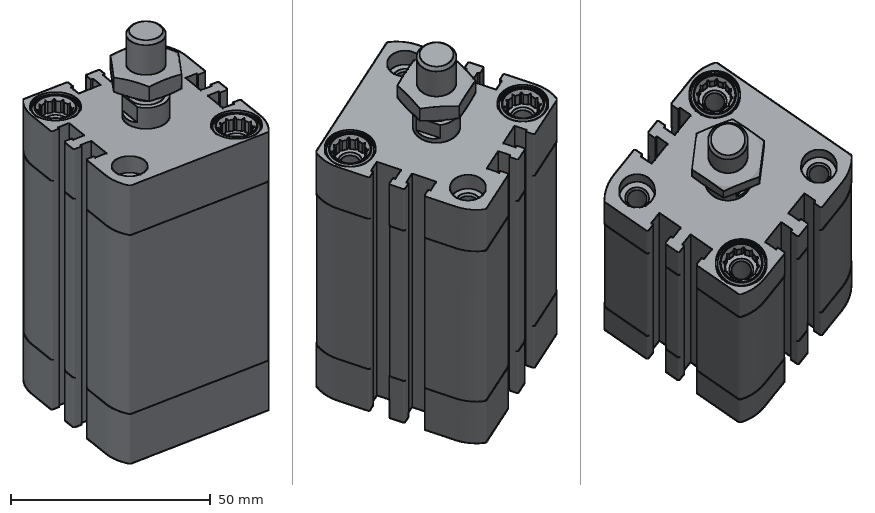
import cadquery as cq
import math


BODY_WIDTH = 47.0
HALF_WIDTH = BODY_WIDTH / 2
BODY_HEIGHT = 84.0
CAP_HEIGHT = 15.0
BARREL_TOP = BODY_HEIGHT - CAP_HEIGHT
BARREL_INSET = 0.08

HOLE_OFFSET = 16.25
CORNER_RISE = 2.4
CAP_EDGE_RADIUS = 0.8
BARREL_EDGE_RADIUS = 1.3
EDGE_MARGIN = 0.1

SLOT_OFFSET = 4.85
SLOT_MOUTH_WIDTH = 5.4
SLOT_INNER_WIDTH = 6.7
SLOT_LIP = 2.4
SLOT_DEPTH = 5.8
LIP_RADIUS = 0.4

THROUGH_DIAMETER = 4.92
THREAD_DIAMETER = 6.0
THREAD_CHAMFER = (THREAD_DIAMETER - THROUGH_DIAMETER) / 2
PLAIN_DIAMETER = 9.0
PLAIN_DEPTH = 5.0

RECESS_DIAMETER = 12.8
RECESS_DEPTH = 0.7
HEAD_DIAMETER = 11.9
CREST_DIAMETER = 10.7
CREST_DEPTH = 0.2
COUNTERSINK_DIAMETER = 10.2
SOCKET_DIAMETER = 8.2
SOCKET_DEPTH = 4.6
COUNTERSINK_DEPTH = (COUNTERSINK_DIAMETER - SOCKET_DIAMETER) / 2
SPLINE_TIP_DIAMETER = 9.1
SPLINE_HALF_WIDTH = (SPLINE_TIP_DIAMETER - SOCKET_DIAMETER) / 2
SPLINE_COUNT = 12

ROD_TOP = 109.6
ROD_DIAMETER = 12.0
ROD_BOTTOM = BARREL_TOP
THREAD_ROD_DIAMETER = 10.0
TIP_CHAMFER = 1.0
TIP_DIAMETER = 8.5
NECK_DIAMETER = 8.0
SHOULDER_Z = BODY_HEIGHT + 6.35
NECK_BOTTOM = SHOULDER_Z + 0.7
NECK_TOP = NECK_BOTTOM + 1.0
SHOULDER_DIAMETER = 9.4
FLAT_WIDTH = 10.0
FLAT_BOTTOM = BODY_HEIGHT + 1.7
FLAT_RUNOUT = 0.35

NUT_ACROSS_FLATS = 17.0
NUT_CORNER_DIAMETER = NUT_ACROSS_FLATS / math.cos(math.pi / 6)
NUT_HEIGHT = 5.0
NUT_BOTTOM = BODY_HEIGHT + 10.6
NUT_CHAMFER_DROP = 0.35


def revolve_profile(points):
    """Solid of revolution about Z from (radius, z) points."""
    return cq.Workplane("XZ").polyline(points).close().revolve(360, (0, 0, 0), (0, 1, 0))


def body_section(inset, edge_radius, bottom, height):
    """Prism with the housing outline; its faces are pulled in by `inset`."""
    side = HALF_WIDTH - inset
    arc_run = side - HOLE_OFFSET
    corner_y = side - CORNER_RISE
    radius = (arc_run ** 2 + CORNER_RISE ** 2) / (2 * CORNER_RISE)
    section = (
        cq.Workplane("XY", origin=(0, 0, bottom))
        .moveTo(-HOLE_OFFSET, side)
        .lineTo(HOLE_OFFSET, side)
        .radiusArc((side, corner_y), radius)
        .lineTo(side, -corner_y)
        .radiusArc((HOLE_OFFSET, -side), radius)
        .lineTo(-HOLE_OFFSET, -side)
        .radiusArc((-side, -corner_y), radius)
        .lineTo(-side, corner_y)
        .radiusArc((-HOLE_OFFSET, side), radius)
        .close()
        .extrude(height)
    )
    for sign in (-1, 1):
        corner_edges = cq.selectors.BoxSelector(
            (sign * side - EDGE_MARGIN, -HALF_WIDTH, bottom),
            (sign * side + EDGE_MARGIN, HALF_WIDTH, bottom + height),
        )
        section = section.edges("|Z").edges(corner_edges).fillet(edge_radius)
    for angle in (0, 90, 180):
        for offset in (-SLOT_OFFSET, SLOT_OFFSET):
            slot = slot_cutter(side, offset, bottom, height)
            section = section.cut(slot.rotate((0, 0, 0), (0, 0, 1), angle))
    return section


def slot_cutter(face, offset, bottom, height):
    """T-slot cutter opening at Y = `face`, with rounded lips."""
    mouth = SLOT_MOUTH_WIDTH / 2
    inner = SLOT_INNER_WIDTH / 2
    flare = mouth + LIP_RADIUS
    lip_bottom = HALF_WIDTH - SLOT_LIP
    floor = HALF_WIDTH - SLOT_DEPTH
    return (
        cq.Workplane("XY", origin=(offset, 0, bottom))
        .moveTo(-inner, floor)
        .lineTo(inner, floor)
        .lineTo(inner, lip_bottom)
        .lineTo(mouth, lip_bottom)
        .lineTo(mouth, face - LIP_RADIUS)
        .radiusArc((flare, face), LIP_RADIUS)
        .lineTo(-flare, face)
        .radiusArc((-mouth, face - LIP_RADIUS), LIP_RADIUS)
        .lineTo(-mouth, lip_bottom)
        .lineTo(-inner, lip_bottom)
        .close()
        .extrude(height)
    )


def through_hole_points(floor):
    """Lower part of a screw hole: chamfered through hole below `floor`."""
    return [
        (THREAD_DIAMETER / 2, floor),
        (THROUGH_DIAMETER / 2, floor - THREAD_CHAMFER),
        (THROUGH_DIAMETER / 2, 0),
        (0, 0),
    ]


def plain_hole_cutter():
    """Counterbored through hole."""
    floor = BODY_HEIGHT - PLAIN_DEPTH
    radius = PLAIN_DIAMETER / 2
    return revolve_profile(
        [(0, BODY_HEIGHT), (radius, BODY_HEIGHT), (radius, floor)] + through_hole_points(floor)
    )


def spline_groove():
    """One V groove of the splined socket, pointing along +X."""
    root = SOCKET_DIAMETER / 2
    return (
        cq.Workplane("XY", origin=(0, 0, BODY_HEIGHT - SOCKET_DEPTH))
        .polyline([
            (0, -SPLINE_HALF_WIDTH),
            (root, -SPLINE_HALF_WIDTH),
            (SPLINE_TIP_DIAMETER / 2, 0),
            (root, SPLINE_HALF_WIDTH),
            (0, SPLINE_HALF_WIDTH),
        ])
        .close()
        .extrude(SOCKET_DEPTH - CREST_DEPTH)
    )


def socket_hole_cutter():
    """Through hole under a recessed screw head with a countersunk, splined socket."""
    floor = BODY_HEIGHT - SOCKET_DEPTH
    crest_z = BODY_HEIGHT - CREST_DEPTH
    recess_z = BODY_HEIGHT - RECESS_DEPTH
    cutter = revolve_profile(
        [
            (0, BODY_HEIGHT),
            (RECESS_DIAMETER / 2, BODY_HEIGHT),
            (RECESS_DIAMETER / 2, recess_z),
            (HEAD_DIAMETER / 2, recess_z),
            (CREST_DIAMETER / 2, crest_z),
            (COUNTERSINK_DIAMETER / 2, crest_z),
            (SOCKET_DIAMETER / 2, crest_z - COUNTERSINK_DEPTH),
            (SOCKET_DIAMETER / 2, floor),
        ]
        + through_hole_points(floor)
    )
    groove = spline_groove()
    for index in range(SPLINE_COUNT):
        cutter = cutter.union(groove.rotate((0, 0, 0), (0, 0, 1), index * 360 / SPLINE_COUNT))
    return cutter


def make_housing():
    """Lower cap, barrel and upper cap in one piece, with the rod seat and holes."""
    housing = body_section(0, CAP_EDGE_RADIUS, 0, CAP_HEIGHT)
    housing = housing.union(
        body_section(BARREL_INSET, BARREL_EDGE_RADIUS, CAP_HEIGHT, BARREL_TOP - CAP_HEIGHT)
    )
    housing = housing.union(body_section(0, CAP_EDGE_RADIUS, BARREL_TOP, CAP_HEIGHT))
    plain = plain_hole_cutter()
    socket = socket_hole_cutter()
    for sign in (-1, 1):
        housing = housing.cut(plain.translate((sign * HOLE_OFFSET, -sign * HOLE_OFFSET, 0)))
        housing = housing.cut(socket.translate((sign * HOLE_OFFSET, sign * HOLE_OFFSET, 0)))
    rod_seat = (
        cq.Workplane("XY", origin=(0, 0, ROD_BOTTOM))
        .circle(ROD_DIAMETER / 2)
        .extrude(BODY_HEIGHT - ROD_BOTTOM)
    )
    return housing.cut(rod_seat)


def make_rod():
    """Piston rod with wrench flats, a waisted neck and a threaded end."""
    rod_radius = ROD_DIAMETER / 2
    thread_radius = THREAD_ROD_DIAMETER / 2
    neck_radius = NECK_DIAMETER / 2
    rod = revolve_profile([
        (0, ROD_BOTTOM),
        (rod_radius, ROD_BOTTOM),
        (rod_radius, SHOULDER_Z),
        (SHOULDER_DIAMETER / 2, SHOULDER_Z),
        (neck_radius, NECK_BOTTOM),
        (neck_radius, NECK_TOP),
        (thread_radius, NUT_BOTTOM),
        (thread_radius, ROD_TOP - TIP_CHAMFER),
        (TIP_DIAMETER / 2, ROD_TOP),
        (0, ROD_TOP),
    ])
    flat = (
        cq.Workplane("YZ")
        .polyline([
            (FLAT_WIDTH / 2, FLAT_BOTTOM),
            (rod_radius, FLAT_BOTTOM - FLAT_RUNOUT),
            (rod_radius, SHOULDER_Z),
            (FLAT_WIDTH / 2, SHOULDER_Z),
        ])
        .close()
        .extrude(rod_radius, both=True)
    )
    return rod.cut(flat).cut(flat.mirror("XZ"))


def make_nut():
    """Hexagon lock nut, chamfered at both ends, with corners on the Y axis."""
    face_radius = NUT_ACROSS_FLATS / 2
    corner_radius = NUT_CORNER_DIAMETER / 2
    top = NUT_BOTTOM + NUT_HEIGHT
    hexagon = (
        cq.Workplane("XY", origin=(0, 0, NUT_BOTTOM))
        .polygon(6, NUT_CORNER_DIAMETER)
        .extrude(NUT_HEIGHT)
        .rotate((0, 0, 0), (0, 0, 1), 90)
    )
    envelope = revolve_profile([
        (0, NUT_BOTTOM),
        (face_radius, NUT_BOTTOM),
        (corner_radius, NUT_BOTTOM + NUT_CHAMFER_DROP),
        (corner_radius, top - NUT_CHAMFER_DROP),
        (face_radius, top),
        (0, top),
    ])
    bore = (
        cq.Workplane("XY", origin=(0, 0, NUT_BOTTOM))
        .circle(THREAD_ROD_DIAMETER / 2)
        .extrude(NUT_HEIGHT)
    )
    return hexagon.intersect(envelope).cut(bore)


housing = make_housing()
rod = make_rod()
nut = make_nut()

result = cq.Compound.makeCompound([housing.val(), rod.val(), nut.val()])